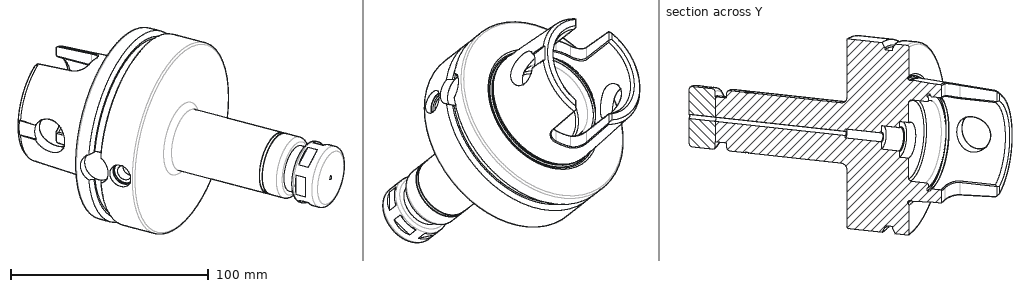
import cadquery as cq
import math


shank_length = 44.7
taper_root_radius = 32.0
taper_root_x = -1.8
taper_slope = 0.05
tip_chamfer_length = 2.1
tip_chamfer_depth = 1.5
neck_step = 0.3
neck_chamfer_length = 1.0
face_groove_radius = 34.0
face_groove_depth = 0.7
face_groove_wall_run = 1.0
face_groove_floor_width = 0.7

bore_radius = 24.1
bore_mouth_chamfer = 1.0
bore_length = 32.7
clamp_groove_depth = 1.3
clamp_groove_width = 2.1
clamp_groove_run_in = 0.8
inner_bore_radius = 21.3
bead_tip_radius = 23.0
bead_overhang = 0.8
bead_length = 1.8
bore_floor_chamfer = 1.0
bore_floor_x = 0.2

thread_recess_diameter = 18.5
thread_recess_depth = 5.0
pilot_diameter = 12.9
pilot_diameter_inner = 12.0
pilot_depth = 9.9
pilot_chamfer = (pilot_diameter - pilot_diameter_inner) / 2
feed_diameter = 5.0
feed_diameter_inner = 4.5
feed_chamfer = (feed_diameter - feed_diameter_inner) / 2
feed_depth = 19.8
coolant_diameter = 2.0

drive_slot_width = 20.5
drive_slot_end_x = -17.8
drive_slot_corner_radius = 5.8
drive_slot_mouth_chamfer = 1.0
drive_slot_rim_chamfer = 0.5
cross_hole_diameter = 18.5
cross_hole_x = -25.4
tip_flat_width = 8.4
tip_flat_distance = 29.2

flange_radius = 50.0
flange_width = 34.2
flange_edge_round = 1.0
gripper_groove_x = 11.2
gripper_groove_radius = 46.4
gripper_groove_top_width = 7.0
gripper_groove_floor_width = 4.0
gripper_groove_wall_height = 1.0
detent_diameter = 16.0
detent_floor_distance = 45.5
screw_x = 26.2
screw_diameter = 12.0
screw_core_diameter = 11.2
screw_tip_diameter = 8.0
screw_mouth_depth = 3.3
screw_core_depth = 4.3
screw_depth = 9.9

stem_radius = 16.0
stem_root_fillet = 3.0
stem_end_x = 99.8
stem_end_fillet = 2.1
mark_groove_x = 87.8
mark_groove_width = 1.6
mark_groove_depth = 0.3
spigot_diameter = 24.0

total_length = 165.0
nut_end_x = total_length - shank_length
nut_length = 14.4
nut_start_x = nut_end_x - nut_length
nut_radius = 16.0
nut_back_fillet = 1.5
nut_front_fillet = 2.1
wrench_flat_count = 6
wrench_flat_distance = 15.0
wrench_flat_start_x = nut_start_x + 2.6
wrench_flat_length = 5.5
wrench_flat_run_out = 0.6

cut_margin = 1.6


def turned(profile):
    """Solid of revolution about the X axis from a closed profile of (x, radius)."""
    return profile.close().revolve(360, (0, 0, 0), (1, 0, 0))


def shank_outside():
    tip_x = -shank_length
    cone_start_x = tip_x + tip_chamfer_length
    cone_start_radius = taper_root_radius - taper_slope * (taper_root_x - cone_start_x)
    neck_radius = taper_root_radius - neck_step
    return turned(
        cq.Workplane("XY")
        .moveTo(tip_x, 0)
        .lineTo(tip_x, cone_start_radius - tip_chamfer_depth)
        .lineTo(cone_start_x, cone_start_radius)
        .lineTo(taper_root_x, taper_root_radius)
        .lineTo(taper_root_x + neck_chamfer_length, neck_radius)
        .lineTo(face_groove_depth, neck_radius)
        .lineTo(face_groove_depth, 0)
    )


def face_groove():
    floor_outer_radius = face_groove_radius - face_groove_wall_run
    floor_inner_radius = floor_outer_radius - face_groove_floor_width
    return turned(
        cq.Workplane("XY")
        .moveTo(0, taper_root_radius - neck_step)
        .lineTo(face_groove_depth, floor_inner_radius)
        .lineTo(face_groove_depth, floor_outer_radius)
        .lineTo(0, face_groove_radius)
    )


def flange():
    disc = (
        cq.Workplane("YZ")
        .circle(flange_radius)
        .extrude(flange_width)
        .edges()
        .fillet(flange_edge_round)
    )
    return disc.cut(face_groove()).cut(gripper_groove())


def gripper_groove():
    half_top = gripper_groove_top_width / 2
    half_floor = gripper_groove_floor_width / 2
    wall_radius = gripper_groove_radius + gripper_groove_wall_height
    outer_radius = flange_radius + cut_margin
    return turned(
        cq.Workplane("XY")
        .moveTo(gripper_groove_x - half_floor, gripper_groove_radius)
        .lineTo(gripper_groove_x - half_floor, wall_radius)
        .lineTo(gripper_groove_x - half_top, flange_radius)
        .lineTo(gripper_groove_x - half_top, outer_radius)
        .lineTo(gripper_groove_x + half_top, outer_radius)
        .lineTo(gripper_groove_x + half_top, flange_radius)
        .lineTo(gripper_groove_x + half_floor, wall_radius)
        .lineTo(gripper_groove_x + half_floor, gripper_groove_radius)
    )


def stem():
    blend_radius = stem_radius + stem_root_fillet
    blend_end_x = flange_width + stem_root_fillet
    blend_arc_offset = stem_root_fillet * (1 - math.sqrt(0.5))
    mark_radius = stem_radius - mark_groove_depth
    end_round_offset = stem_end_fillet * (1 - math.sqrt(0.5))
    spigot_radius = spigot_diameter / 2
    return turned(
        cq.Workplane("XY")
        .moveTo(flange_width, 0)
        .lineTo(flange_width, blend_radius)
        .threePointArc(
            (flange_width + blend_arc_offset, stem_radius + blend_arc_offset),
            (blend_end_x, stem_radius),
        )
        .lineTo(mark_groove_x, stem_radius)
        .lineTo(mark_groove_x, mark_radius)
        .lineTo(mark_groove_x + mark_groove_width, mark_radius)
        .lineTo(mark_groove_x + mark_groove_width, stem_radius)
        .lineTo(stem_end_x - stem_end_fillet, stem_radius)
        .threePointArc(
            (stem_end_x - end_round_offset, stem_radius - end_round_offset),
            (stem_end_x, stem_radius - stem_end_fillet),
        )
        .lineTo(stem_end_x, spigot_radius)
        .lineTo(nut_start_x, spigot_radius)
        .lineTo(nut_start_x, 0)
    )


def shank_bore():
    """Bore, clamping groove, rounded bead and the narrower end of the bore."""
    tip_x = -shank_length
    groove_start_x = tip_x + bore_length
    groove_end_x = groove_start_x + clamp_groove_width
    groove_radius = bore_radius + clamp_groove_depth
    bead_tip_x = groove_end_x - bead_overhang
    return turned(
        cq.Workplane("XY")
        .moveTo(tip_x, 0)
        .lineTo(tip_x, bore_radius + bore_mouth_chamfer)
        .lineTo(tip_x + 2 * bore_mouth_chamfer, bore_radius)
        .lineTo(groove_start_x, bore_radius)
        .lineTo(groove_start_x + clamp_groove_run_in, groove_radius)
        .lineTo(groove_end_x, groove_radius)
        .lineTo(groove_end_x, bore_radius)
        .threePointArc((bead_tip_x, bead_tip_radius), (bead_tip_x + bead_length, inner_bore_radius))
        .lineTo(bore_floor_x - bore_floor_chamfer, inner_bore_radius)
        .lineTo(bore_floor_x, inner_bore_radius - bore_floor_chamfer)
        .lineTo(bore_floor_x, 0)
    )


def central_bores():
    recess_end_x = bore_floor_x + thread_recess_depth
    pilot_end_x = recess_end_x + pilot_depth
    feed_end_x = pilot_end_x + feed_depth
    return turned(
        cq.Workplane("XY")
        .moveTo(bore_floor_x, 0)
        .lineTo(bore_floor_x, thread_recess_diameter / 2)
        .lineTo(recess_end_x, thread_recess_diameter / 2)
        .lineTo(recess_end_x, pilot_diameter / 2)
        .lineTo(recess_end_x + pilot_chamfer, pilot_diameter_inner / 2)
        .lineTo(pilot_end_x, pilot_diameter_inner / 2)
        .lineTo(pilot_end_x, feed_diameter / 2)
        .lineTo(pilot_end_x + feed_chamfer, feed_diameter_inner / 2)
        .lineTo(feed_end_x, feed_diameter_inner / 2)
        .lineTo(feed_end_x, coolant_diameter / 2)
        .lineTo(nut_start_x, coolant_diameter / 2)
        .lineTo(nut_start_x, 0)
    )


def drive_slots():
    """Cutter that passes through both walls of the shank along Z."""
    tip_x = -shank_length
    half_width = drive_slot_width / 2
    mouth_half_width = half_width + drive_slot_mouth_chamfer
    cutter_height = 2 * flange_radius
    slot = (
        cq.Workplane("XY")
        .box(drive_slot_end_x - tip_x, drive_slot_width, cutter_height)
        .edges("|Z and >X")
        .fillet(drive_slot_corner_radius)
        .translate(((drive_slot_end_x + tip_x) / 2, 0, 0))
    )
    mouth = (
        cq.Workplane("XY", origin=(0, 0, -cutter_height / 2))
        .moveTo(tip_x, -mouth_half_width)
        .lineTo(tip_x, mouth_half_width)
        .lineTo(tip_x + drive_slot_mouth_chamfer, half_width)
        .lineTo(tip_x + drive_slot_mouth_chamfer, -half_width)
        .close()
        .extrude(cutter_height)
    )
    return slot.union(mouth)


def cross_hole():
    return (
        cq.Workplane("XZ", origin=(cross_hole_x, 0, 0))
        .circle(cross_hole_diameter / 2)
        .extrude(flange_radius, both=True)
    )


def tip_flat():
    """Flat-bottomed groove in the -Y side, from the tip to the cross hole."""
    length = cross_hole_x + shank_length
    height = flange_radius - tip_flat_distance
    return (
        cq.Workplane("XY")
        .box(length, height, tip_flat_width, centered=(False, False, True))
        .translate((-shank_length, -flange_radius, 0))
    )


def radial_hole(x, diameter, start_distance, floor_distance):
    """Round cutter along -Y, between two distances from the axis."""
    return (
        cq.Workplane("XZ", origin=(x, -floor_distance, 0))
        .circle(diameter / 2)
        .extrude(start_distance - floor_distance)
    )


def flange_side_holes():
    """Gripper detent and stepped screw hole in the -Y side of the flange."""
    outside = flange_radius + cut_margin
    core_start = flange_radius - screw_mouth_depth
    tip_start = flange_radius - screw_core_depth
    detent = radial_hole(gripper_groove_x, detent_diameter, outside, detent_floor_distance)
    screw_mouth = radial_hole(screw_x, screw_diameter, outside, core_start)
    screw_core = radial_hole(screw_x, screw_core_diameter, outside, tip_start)
    screw_tip = radial_hole(screw_x, screw_tip_diameter, outside, flange_radius - screw_depth)
    return detent.union(screw_mouth).union(screw_core).union(screw_tip)


def hollow_shank():
    """Slotted taper shank with the rims of both drive slots chamfered."""
    body = shank_outside().cut(shank_bore()).cut(drive_slots())
    rim_start_x = -shank_length + tip_chamfer_length
    rim_end_x = drive_slot_end_x + cut_margin
    half_box_width = drive_slot_width / 2 + drive_slot_mouth_chamfer / 2
    for side in (-1, 1):
        rim_zone = cq.selectors.BoxSelector(
            (rim_start_x, -half_box_width, side * inner_bore_radius),
            (rim_end_x, half_box_width, side * flange_radius),
        )
        rim = body.edges(rim_zone - cq.selectors.ParallelDirSelector(cq.Vector(0, 0, 1)))
        body = rim.chamfer(drive_slot_rim_chamfer)
    return body


def make_holder():
    body = hollow_shank().union(flange().cut(shank_bore())).union(stem())
    body = body.cut(central_bores()).cut(cross_hole())
    for angle in (0, 180):
        for cutter in (tip_flat(), flange_side_holes()):
            body = body.cut(cutter.rotate((0, 0, 0), (1, 0, 0), angle))
    return body


def wrench_flat():
    """Cutter for one flat on the -Y side of the nut, with a sloped front end."""
    outer_distance = nut_radius + cut_margin
    outer_run_out = wrench_flat_run_out * (outer_distance - wrench_flat_distance)
    flat_end_x = wrench_flat_start_x + wrench_flat_length
    return (
        cq.Workplane("XY")
        .moveTo(wrench_flat_start_x, -wrench_flat_distance)
        .lineTo(flat_end_x, -wrench_flat_distance)
        .lineTo(flat_end_x + outer_run_out, -outer_distance)
        .lineTo(wrench_flat_start_x, -outer_distance)
        .close()
        .extrude(nut_radius, both=True)
    )


def make_nut():
    body = cq.Workplane("YZ", origin=(nut_start_x, 0, 0)).circle(nut_radius).extrude(nut_length)
    body = body.faces("<X").edges().fillet(nut_back_fillet)
    body = body.faces(">X").edges().fillet(nut_front_fillet)
    body = body.faces(">X").workplane().circle(coolant_diameter / 2).cutThruAll()
    for index in range(wrench_flat_count):
        angle = index * 360 / wrench_flat_count
        body = body.cut(wrench_flat().rotate((0, 0, 0), (1, 0, 0), angle))
    return body


holder = make_holder()
nut = make_nut()
result = cq.Compound.makeCompound([holder.val(), nut.val()])